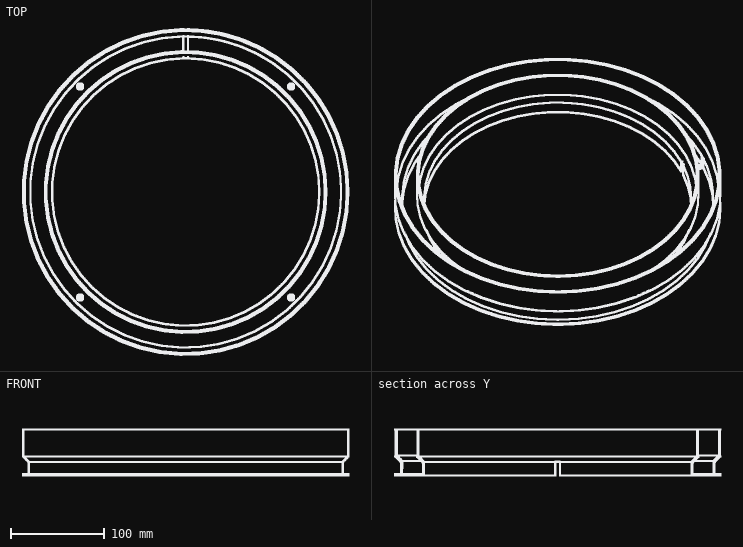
import cadquery as cq
import math

wall = 1.8
height = 49.8
neck_height = 13.0
shoulder_step = 6.0
shoulder_angle = 45.0

outer_diameter = 349.25
inner_diameter = 298.45

slot_width = 5.0

hole_circle_diameter = 320.0
first_hole_angle = 45.0
hole_count = 4
hole_diameter = 3.0
countersink_angle = 90.0

countersink_diameter = hole_diameter + 2 * wall * math.tan(math.radians(countersink_angle / 2))

outer_radius = outer_diameter / 2
inner_radius = inner_diameter / 2
outer_neck_radius = outer_radius - shoulder_step
bore_radius = inner_radius - shoulder_step
shoulder_bottom = wall + neck_height
shoulder_top = shoulder_bottom + shoulder_step / math.tan(math.radians(shoulder_angle))

bend_offset = wall * math.tan(math.radians(shoulder_angle / 2))


def ring_body():
    """Annular trough: a flat floor with a flange, and two thin walls that step outward."""
    inner_wall_inside = [
        (bore_radius, 0),
        (bore_radius, shoulder_bottom),
        (inner_radius, shoulder_top),
        (inner_radius, height),
    ]
    inner_wall_outside = [
        (inner_radius + wall, height),
        (inner_radius + wall, shoulder_top - bend_offset),
        (bore_radius + wall, shoulder_bottom - bend_offset),
        (bore_radius + wall, wall),
    ]
    outer_wall_inside = [
        (outer_neck_radius - wall, wall),
        (outer_neck_radius - wall, shoulder_bottom + bend_offset),
        (outer_radius - wall, shoulder_top + bend_offset),
        (outer_radius - wall, height),
    ]
    outer_wall_outside = [
        (outer_radius, height),
        (outer_radius, shoulder_top),
        (outer_neck_radius, shoulder_bottom),
        (outer_neck_radius, wall),
    ]
    flange_edge = [
        (outer_radius, wall),
        (outer_radius, 0),
    ]
    outline = inner_wall_inside + inner_wall_outside + outer_wall_inside + outer_wall_outside + flange_edge
    return cq.Workplane("XZ").polyline(outline).close().revolve(360, (0, 0, 0), (0, 1, 0))


def slot_cutter():
    """Radial slot through the bore, floor, necks and flange, up to the shoulders."""
    return cq.Workplane("XY").box(slot_width, outer_radius, shoulder_bottom, centered=(True, False, False))


def drill_screw_holes(body):
    """Countersunk holes on the diagonals of the floor."""
    return (
        body.copyWorkplane(cq.Workplane("XY", origin=(0, 0, wall)))
        .polarArray(hole_circle_diameter / 2, first_hole_angle, 360, hole_count)
        .cskHole(hole_diameter, countersink_diameter, countersink_angle, depth=wall)
    )


result = drill_screw_holes(ring_body().cut(slot_cutter()))